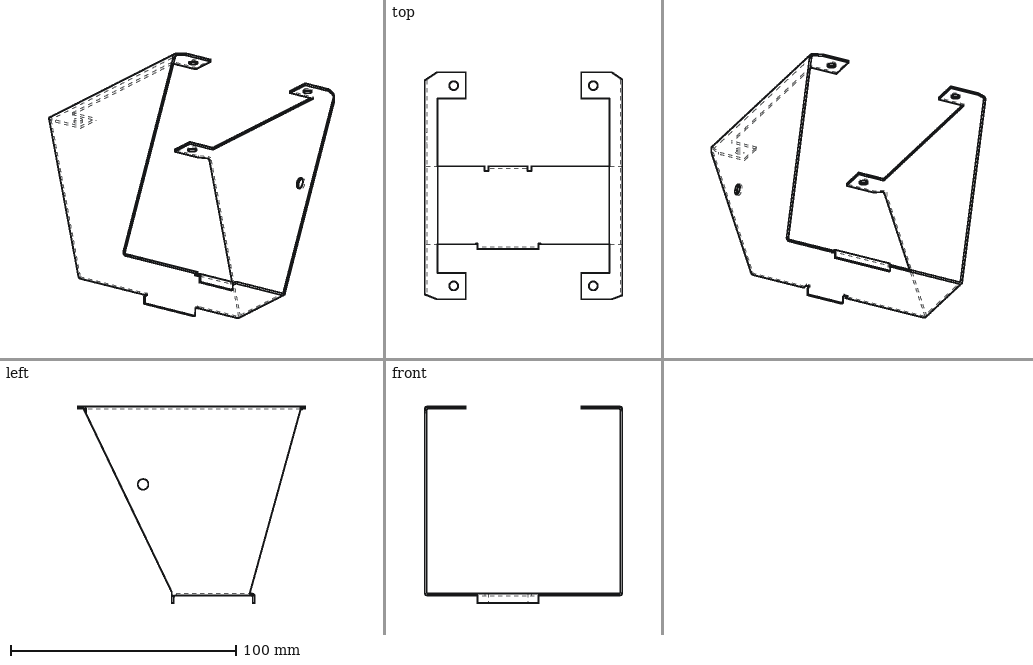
import cadquery as cq

width = 88.0
length = 101.0
total_height = 87.5
clip_drop = 3.3
top_z = total_height - clip_drop
sheet = 1.0
bend_radius = 1.5
inner_radius = bend_radius - sheet

base_back_y = 8.8
base_front_y = -26.1
wall_top_back_y = 48.5
wall_top_front_y = -48.9

lip_width = 5.9
tab_reach = 18.4
tab_length = 11.8
mount_hole_diameter = 3.8
mount_hole_spacing_x = 62.0
mount_hole_spacing_y = 89.0

left_cut_run, left_cut_back, left_cut_front = 5.6, 3.7, 2.2
right_cut_run, right_cut_back, right_cut_front = 4.8, 3.3, 1.8

wall_hole_diameter = 4.7
wall_hole_y = 21.5
wall_hole_z = top_z - 34.6

back_clip_x = (-15.6, 1.8)
back_relief_width = 1.7
back_relief_depth = 2.1
front_clip_x = (-20.5, 6.8)
front_clip_y = -28.2
front_relief_width = 0.7
front_relief_depth = 0.4


def box(x_range, y_range, z_range):
    """Box spanning the given ranges."""
    (x0, x1), (y0, y1), (z0, z1) = x_range, y_range, z_range
    return cq.Workplane("XY").box(x1 - x0, y1 - y0, z1 - z0, centered=False).translate((x0, y0, z0))


def folded_sheet():
    """Square tube with rounded bends, opened at the top between the tabs."""
    def rounded_bar(inset, radius):
        bar = cq.Workplane("XY").box(width - 2 * inset, length, top_z - 2 * inset)
        return bar.edges("|Y").fillet(radius).translate((0, 0, top_z / 2))

    tube = rounded_bar(0, bend_radius).cut(rounded_bar(sheet, inner_radius))
    lip_x = width / 2 - lip_width
    tab_x = width / 2 - tab_reach
    opening_z = (top_z - 2 * sheet, top_z + sheet)
    tab_inner_y = length / 2 - tab_length
    tube = tube.cut(box((-tab_x, tab_x), (-length / 2, length / 2), opening_z))
    return tube.cut(box((-lip_x, lip_x), (-tab_inner_y, tab_inner_y), opening_z))


def side_envelope():
    """Tapered wall outline, widening to full length at the flange bend."""
    taper = (
        cq.Workplane("YZ")
        .polyline([
            (base_front_y, 0),
            (base_back_y, 0),
            (base_back_y, bend_radius),
            (wall_top_back_y, top_z),
            (wall_top_front_y, top_z),
            (base_front_y, bend_radius),
        ])
        .close()
        .extrude(width / 2, both=True)
    )
    flange_band = box((-width / 2, width / 2), (-length / 2, length / 2), (top_z - bend_radius, top_z))
    return taper.union(flange_band)


def plan_envelope():
    """Plan outline with its four corners cut off."""
    x, y = width / 2, length / 2
    return (
        cq.Workplane("XY")
        .polyline([
            (-x + left_cut_run, y),
            (x - right_cut_run, y),
            (x, y - right_cut_back),
            (x, -y + right_cut_front),
            (x - right_cut_run, -y),
            (-x + left_cut_run, -y),
            (-x, -y + left_cut_front),
            (-x, y - left_cut_back),
        ])
        .close()
        .extrude(top_z)
    )


def clip(x_range, edge_y, root_y):
    """L-shaped clip running from root_y to its bend and down at edge_y."""
    outward = 1 if edge_y > root_y else -1
    bend_start_y = edge_y - outward * bend_radius
    inside_y = edge_y - outward * sheet
    bend_z = sheet - bend_radius
    diagonal = 0.5 ** 0.5

    def mid_arc(radius):
        return (bend_start_y + outward * radius * diagonal, bend_z + radius * diagonal)

    return (
        cq.Workplane("YZ", origin=(x_range[0], 0, 0))
        .moveTo(root_y, sheet)
        .lineTo(bend_start_y, sheet)
        .threePointArc(mid_arc(bend_radius), (edge_y, bend_z))
        .lineTo(edge_y, -clip_drop)
        .lineTo(inside_y, -clip_drop)
        .lineTo(inside_y, bend_z)
        .threePointArc(mid_arc(inner_radius), (bend_start_y, 0))
        .lineTo(root_y, 0)
        .close()
        .extrude(x_range[1] - x_range[0])
    )


def add_clip(body, x_range, edge_y, root_y, base_edge_y, relief_width):
    """Clear the base edge back to root_y across the clip and its reliefs, then add the clip."""
    cleared_x = (x_range[0] - relief_width, x_range[1] + relief_width)
    cleared_y = (min(root_y, base_edge_y), max(root_y, base_edge_y))
    return body.cut(box(cleared_x, cleared_y, (0, sheet))).union(clip(x_range, edge_y, root_y))


body = folded_sheet().intersect(side_envelope()).intersect(plan_envelope())

mount_holes = (
    cq.Workplane("XY", origin=(0, 0, top_z - 2 * sheet))
    .rarray(mount_hole_spacing_x, mount_hole_spacing_y, 2, 2)
    .circle(mount_hole_diameter / 2)
    .extrude(3 * sheet)
)
wall_hole = (
    cq.Workplane("YZ", origin=(-width / 2 - sheet, wall_hole_y, wall_hole_z))
    .circle(wall_hole_diameter / 2)
    .extrude(3 * sheet)
)
body = body.cut(mount_holes).cut(wall_hole)

back_root_y = base_back_y - back_relief_depth
front_root_y = base_front_y + front_relief_depth
body = add_clip(body, back_clip_x, base_back_y, back_root_y, base_back_y, back_relief_width)
body = add_clip(body, front_clip_x, front_clip_y, front_root_y, base_front_y, front_relief_width)

result = body